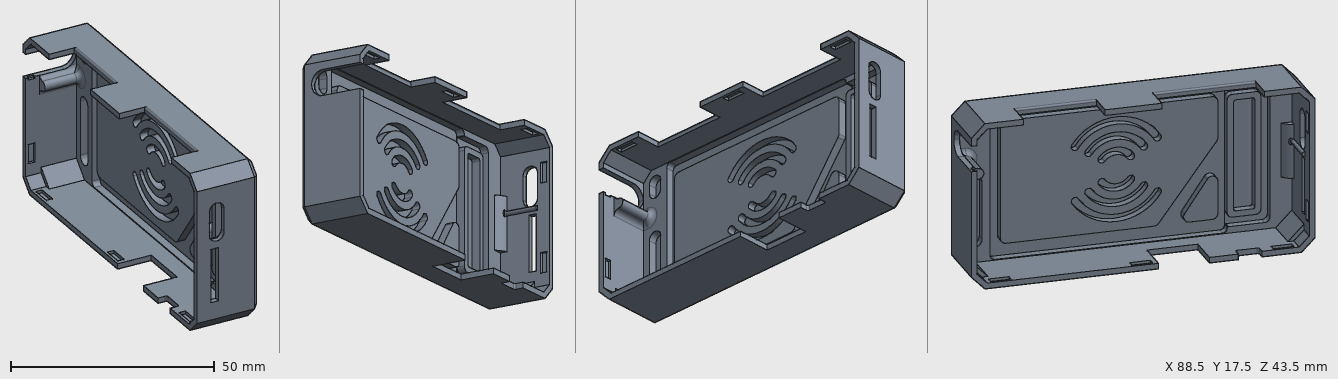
import cadquery as cq
import math


length = 88.5
depth = 17.5
height = 43.5
wall = 1.5
corner_cut = 3.5
back_edge_cut = 1.4
floor_y = 14.2
recess_y = 16.45
mid_x = length / 2
mid_z = height / 2
inner_corner_cut = corner_cut - wall * (2 - math.sqrt(2))
past = 1.0

main_recess = (9.4, 1.7, 70.4, height - 1.7)
main_recess_radius = 1.2
plate_left = 12.0
plate_right = 68.0
plate_bottom = 5.6
plate_top = height - plate_bottom
plate_radius = 1.5
plate_cut_x = 52.3
plate_cut_z = 26.5
triangle_x = 57.8
triangle_top = 20.3
triangle_radius = 1.5

side_recess = (main_recess[2] - past, 3.2, 81.4, height - 3.2)
side_recess_radius = 1.4
mouth_radius = 0.3
side_recess_y = recess_y - 0.1
frame = (main_recess[2], plate_bottom, 79.05, plate_top)
frame_radius = 1.3
frame_window = (72.05, 7.15, 77.5, height - 7.15)
frame_window_radius = 0.6

wave_x = 41.85
wave_rings = ((4.8, 51.0), (8.8, 54.0), (12.8, 56.0))
wave_width = 1.95

floor_slot_x = 5.4
floor_slot_width = 3.8
floor_slots = ((5.5, 24.3), (33.75, 40.05))

top_openings = ((13.4, 34.45), (49.05, 75.45))
top_opening_depth = 7.0
top_opening_round = 0.5
bottom_opening = (48.2, 61.3)
bottom_opening_depth = 9.4
notch = (68.75, 74.85)
notch_depth = 2.5
notch_radius = 0.5

window_z = (31.25, 37.95)
window_reach = 14.05
port_y = 5.55
port_width = 4.15
port_z = (25.0, 35.5)
end_slot_y = (3.9, 6.0)
end_slot_z = (8.3, 23.0)

catch_y = (0.8, 2.55)
catch_depth = 0.8
catch_length = 5.3
catch_outer_offset = 36.4
catch_end_offset = 11.6

gusset_leg = 4.15
gusset_start_y = 4.3

post_x = 3.05
post_z = 28.9
post_radius = 1.4
post_blend = post_x - wall
post_end_y = 3.8

pad_x = 84.25
pad_z = (14.65, 28.85)
pad_wall_y = 12.3
pad_bulge = 0.25
pin_x = 86.8
pin_z = 24.4
pin_radius = 0.6
pin_blend = 0.5
pin_end_y = 3.4
pin_base_y = 12.6


def plan(y):
    """Sketch plane at depth y: local x is X, local y is Z, positive extrusion runs toward -Y."""
    return cq.Workplane("XZ", origin=(0, y, 0))


def block(x0, x1, y0, y1, z0, z1):
    return cq.Workplane("XY").box(x1 - x0, y1 - y0, z1 - z0, centered=False).translate((x0, y0, z0))


def panel(bounds, y0, y1, radius):
    """Rounded rectangular slab, bounds (x0, z0, x1, z1), from y0 to y1."""
    x0, z0, x1, z1 = bounds
    return block(x0, x1, y0, y1, z0, z1).edges("|Y").fillet(radius)


def cut_corner_box(margin, cut, y0, y1):
    """Box with its four long edges cut off, inset by margin from the outside."""
    return block(margin, length - margin, y0, y1, margin, height - margin).edges("|Y").chamfer(cut)


def make_shell():
    outer = cut_corner_box(0, corner_cut, 0, depth).faces(">Y").chamfer(back_edge_cut)
    return outer.cut(cut_corner_box(wall, inner_corner_cut, -past, floor_y))


def make_plate():
    """Plate with one sloping corner, and the rounded triangle that fills part of that corner."""
    plate = (
        plan(recess_y)
        .moveTo(plate_left, plate_bottom)
        .lineTo(plate_cut_x, plate_bottom)
        .lineTo(plate_right, plate_cut_z)
        .lineTo(plate_right, plate_top)
        .lineTo(plate_left, plate_top)
        .close()
        .extrude(recess_y - floor_y)
        .edges("|Y")
        .fillet(plate_radius)
    )
    triangle = (
        plan(recess_y)
        .moveTo(triangle_x, plate_bottom)
        .lineTo(plate_right, plate_bottom)
        .lineTo(plate_right, triangle_top)
        .close()
        .extrude(recess_y - floor_y)
        .edges("|Y")
        .fillet(triangle_radius)
    )
    return plate, triangle


def wave_groove(radius, half_angle, direction):
    """Round-ended arc groove; direction is 1 above the centre and -1 below it."""

    def at(distance, degrees):
        turn = math.radians(degrees)
        return (wave_x + distance * math.sin(turn), mid_z + direction * distance * math.cos(turn))

    inner = radius - wave_width / 2
    outer = radius + wave_width / 2
    cap = math.degrees(wave_width / 2 / radius)
    return (
        plan(recess_y)
        .moveTo(*at(outer, -half_angle))
        .threePointArc(at(outer, 0), at(outer, half_angle))
        .threePointArc(at(radius, half_angle + cap), at(inner, half_angle))
        .threePointArc(at(inner, 0), at(inner, -half_angle))
        .threePointArc(at(radius, -half_angle - cap), at(outer, -half_angle))
        .close()
        .extrude(recess_y - floor_y + past)
    )


def mouth_rounding(z, outward):
    """Cutter rounding the corner between the recesses at height z; outward is the Z sign into the floor."""
    x = main_recess[2]
    bend = mouth_radius * (1 - math.sqrt(0.5))
    return (
        plan(side_recess_y)
        .moveTo(x, z)
        .lineTo(x, z + outward * mouth_radius)
        .threePointArc((x + bend, z + outward * bend), (x + mouth_radius, z))
        .close()
        .extrude(side_recess_y - floor_y + past)
    )


def shape_floor(body):
    plate, triangle = make_plate()
    body = body.cut(panel(main_recess, floor_y - past, recess_y, main_recess_radius))
    side = panel(side_recess, floor_y - past, side_recess_y, side_recess_radius)
    side = side.cut(panel(frame, floor_y - past, recess_y, frame_radius))
    body = body.cut(side)
    for z, outward in ((side_recess[1], -1), (side_recess[3], 1)):
        body = body.cut(mouth_rounding(z, outward))
    body = body.cut(panel(frame_window, floor_y - past, recess_y, frame_window_radius))
    body = body.union(plate).union(triangle)
    for radius, half_angle in wave_rings:
        for direction in (1, -1):
            body = body.cut(wave_groove(radius, half_angle, direction))
    for z0, z1 in floor_slots:
        slot = (
            plan(recess_y)
            .center(floor_slot_x, (z0 + z1) / 2)
            .slot2D(z1 - z0, floor_slot_width, 90)
            .extrude(recess_y - floor_y + past)
        )
        body = body.cut(slot)
    return body


def open_long_walls(body):
    outside = height + past
    inside = height - wall - past
    lip_bend = top_opening_round * (1 - math.sqrt(0.5))
    for x0, x1 in top_openings:
        profile = (
            cq.Workplane("YZ", origin=(x0, 0, 0))
            .moveTo(-past, inside)
            .lineTo(top_opening_depth, inside)
            .lineTo(top_opening_depth, height - top_opening_round)
            .threePointArc(
                (top_opening_depth + lip_bend, height - lip_bend),
                (top_opening_depth + top_opening_round, height),
            )
            .lineTo(top_opening_depth + top_opening_round, outside)
            .lineTo(-past, outside)
            .close()
        )
        body = body.cut(profile.extrude(x1 - x0))
    body = body.cut(block(*bottom_opening, -past, bottom_opening_depth, -past, wall + past))
    notch_tool = block(*notch, -past, notch_depth, -past, wall + past).edges("|Z and >Y").fillet(notch_radius)
    return body.cut(notch_tool)


def open_end_walls(body):
    z0, z1 = window_z
    window = block(-past, post_x, -past, window_reach, z0, z1)
    window = window.edges("|X and >Y").fillet((z1 - z0) / 2 - 0.001)
    z0, z1 = port_z
    port = (
        cq.Workplane("YZ", origin=(length - wall - past, 0, 0))
        .center(port_y, (z0 + z1) / 2)
        .slot2D(z1 - z0, port_width, 90)
        .extrude(wall + 2 * past)
    )
    end_slot = block(length - wall - past, length + past, *end_slot_y, *end_slot_z)
    return body.cut(window).cut(port).cut(end_slot)


def cut_catches(body):
    """Shallow pockets inside the rim: three on each long wall and two on each end wall."""
    half = catch_length / 2
    reach = wall - catch_depth
    for offset in (-catch_outer_offset, 0, catch_outer_offset):
        x = mid_x + offset
        body = body.cut(block(x - half, x + half, *catch_y, reach, wall))
        body = body.cut(block(x - half, x + half, *catch_y, height - wall, height - reach))
    for offset in (-catch_end_offset, catch_end_offset):
        z = mid_z + offset
        body = body.cut(block(reach, wall, *catch_y, z - half, z + half))
        body = body.cut(block(length - wall, length - reach, *catch_y, z - half, z + half))
    return body


def make_gusset():
    """Triangular fillet block in the lower left inside corner."""
    return (
        plan(floor_y)
        .moveTo(wall, wall + gusset_leg)
        .lineTo(wall + gusset_leg, wall)
        .lineTo(corner_cut, wall / 2)
        .lineTo(wall / 2, corner_cut)
        .close()
        .extrude(floor_y - gusset_start_y)
    )


def flare(x, z, base_y, radius, blend):
    """Round foot whose side sweeps from the base into a shaft of the given radius."""
    bend = blend * (1 - math.sqrt(0.5))
    return (
        cq.Workplane("XY", origin=(x, base_y, z))
        .lineTo(radius + blend, 0)
        .threePointArc((radius + bend, -bend), (radius, -blend))
        .lineTo(0, -blend)
        .close()
        .revolve(360, (0, 0, 0), (0, 1, 0))
    )


def make_post():
    """Round post tied to the left wall by a web, blended into both the wall and the floor."""
    reach = post_radius + post_blend
    bend = post_blend * (1 - math.sqrt(0.5))
    shaft = (
        plan(floor_y)
        .moveTo(wall, post_z + reach)
        .threePointArc((wall + bend, post_z + post_radius + bend), (post_x, post_z + post_radius))
        .threePointArc((post_x + post_radius, post_z), (post_x, post_z - post_radius))
        .threePointArc((wall + bend, post_z - post_radius - bend), (wall, post_z - reach))
        .close()
        .extrude(floor_y - post_end_y)
    )
    foot = flare(post_x, post_z, floor_y, post_radius, post_blend)
    foot = foot.intersect(block(post_x, length, 0, depth, 0, height))
    web_foot = (
        cq.Workplane("YZ", origin=(wall, floor_y, post_z))
        .moveTo(0, -reach)
        .threePointArc((-bend, -post_radius - bend), (-post_blend, -post_radius))
        .lineTo(-post_blend, post_radius)
        .threePointArc((-bend, post_radius + bend), (0, reach))
        .close()
        .extrude(post_x - wall)
    )
    return shaft.union(foot).union(web_foot)


def make_pad():
    """Sloping, slightly bulged pad in the corner between the floor and the right wall."""
    wall_x = length - wall
    z0, z1 = pad_z
    run = wall_x - pad_x
    rise = floor_y - pad_wall_y
    chord = math.hypot(run, rise)
    bulge_point = (
        (pad_x + wall_x) / 2 - pad_bulge * rise / chord,
        (floor_y + pad_wall_y) / 2 - pad_bulge * run / chord,
    )
    return (
        cq.Workplane("XY", origin=(0, 0, z0))
        .moveTo(pad_x, floor_y)
        .threePointArc(bulge_point, (wall_x, pad_wall_y))
        .lineTo(wall_x, floor_y)
        .close()
        .extrude(z1 - z0)
    )


def make_pin():
    pin = plan(floor_y).center(pin_x, pin_z).circle(pin_radius).extrude(floor_y - pin_end_y)
    pin = pin.union(flare(pin_x, pin_z, pin_base_y, pin_radius, pin_blend))
    return pin.intersect(block(0, length - wall, 0, depth, 0, height))


case = shape_floor(make_shell())
gusset = make_gusset()
case = case.union(gusset).union(gusset.mirror("YZ", (mid_x, 0, 0)))
case = open_long_walls(case)
case = case.union(make_post())
case = open_end_walls(case)
case = cut_catches(case)
case = case.union(make_pad()).union(make_pin())

result = case